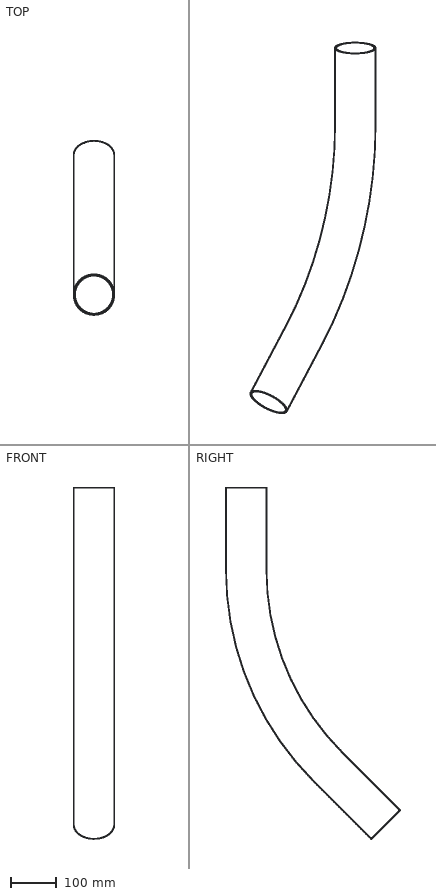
import cadquery as cq
import math

outer_diameter = 89.0
inner_diameter = 83.0
straight_length = 179.0
bend_radius = 606.0
bend_angle = 45.0

angle = math.radians(bend_angle)
upper_end = (0, 0)
bend_start = (0, -straight_length)


def point_on_bend(turn):
    """Centreline point (Y, Z) after turning by the given angle."""
    y = bend_radius * (1 - math.cos(turn))
    z = bend_start[1] - bend_radius * math.sin(turn)
    return (y, z)


bend_middle = point_on_bend(angle / 2)
bend_end = point_on_bend(angle)
lower_end = (
    bend_end[0] + straight_length * math.sin(angle),
    bend_end[1] - straight_length * math.cos(angle),
)

centreline = (
    cq.Workplane("YZ")
    .moveTo(*upper_end)
    .lineTo(*bend_start)
    .threePointArc(bend_middle, bend_end)
    .lineTo(*lower_end)
)

result = (
    cq.Workplane("XY")
    .circle(outer_diameter / 2)
    .circle(inner_diameter / 2)
    .sweep(centreline)
)